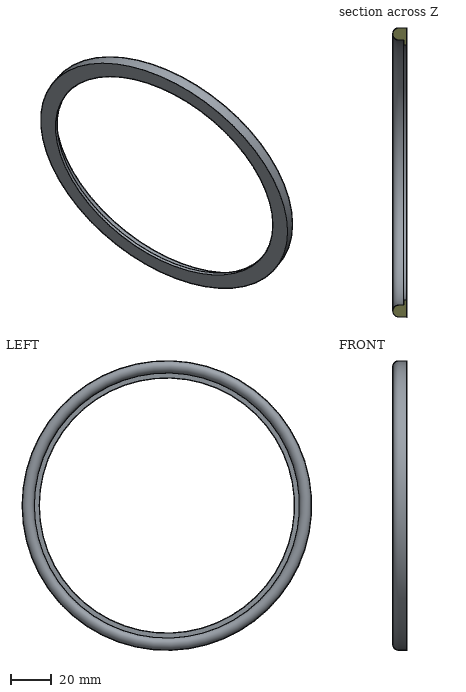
import cadquery as cq

outer_diameter = 142.0
bead_inner_diameter = 130.0
bore_diameter = 125.0
ring_width = 7.0
lip_thickness = 1.5

outer_radius = outer_diameter / 2
bead_inner_radius = bead_inner_diameter / 2
bore_radius = bore_diameter / 2

bead_radius = (outer_radius - bead_inner_radius) / 2
bead_center_radius = bead_inner_radius + bead_radius

front_x = -ring_width / 2
back_x = ring_width / 2
bead_tangent_x = front_x + bead_radius
lip_front_x = back_x - lip_thickness

section = (
    cq.Workplane("XY")
    .moveTo(back_x, bore_radius)
    .lineTo(back_x, outer_radius)
    .lineTo(bead_tangent_x, outer_radius)
    .threePointArc((front_x, bead_center_radius), (bead_tangent_x, bead_inner_radius))
    .lineTo(lip_front_x, bead_inner_radius)
    .lineTo(lip_front_x, bore_radius)
    .close()
)

result = section.revolve(360, (0, 0, 0), (1, 0, 0))